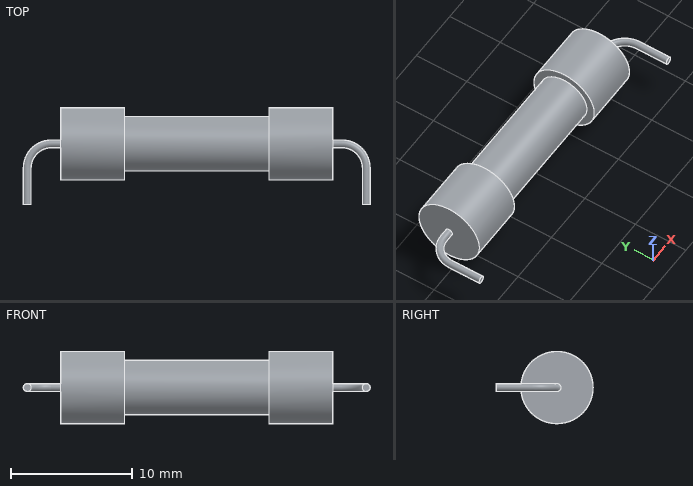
import cadquery as cq

overall_length = 28.65
caps_length = 22.45
cap_length = 5.27
cap_diameter = 6.0
tube_diameter = 4.53
lead_diameter = 0.65
lead_bend_radius = 2.0
lead_reach = 5.0

cap_face_x = caps_length / 2
cap_inner_x = cap_face_x - cap_length
lead_leg_x = overall_length / 2 - lead_diameter / 2
bend_start_x = lead_leg_x - lead_bend_radius
lead_root_x = cap_face_x - lead_diameter / 2


def cylinder_along_x(start_x, end_x, diameter):
    """Solid cylinder on the X axis."""
    return cq.Workplane("YZ", origin=(start_x, 0, 0)).circle(diameter / 2).extrude(end_x - start_x)


def make_lead():
    """Wire leaving the +X cap and bending a quarter turn toward -Y."""
    path = (
        cq.Workplane("XY")
        .moveTo(lead_root_x, 0)
        .lineTo(bend_start_x, 0)
        .tangentArcPoint((lead_leg_x, -lead_bend_radius), relative=False)
        .lineTo(lead_leg_x, -lead_reach)
    )
    section = cq.Workplane("YZ", origin=(lead_root_x, 0, 0)).circle(lead_diameter / 2)
    return section.sweep(path)


cap_with_lead = cylinder_along_x(cap_inner_x, cap_face_x, cap_diameter).union(make_lead())
tube = cylinder_along_x(-cap_inner_x, cap_inner_x, tube_diameter)

result = tube.union(cap_with_lead).union(cap_with_lead.mirror("YZ"))